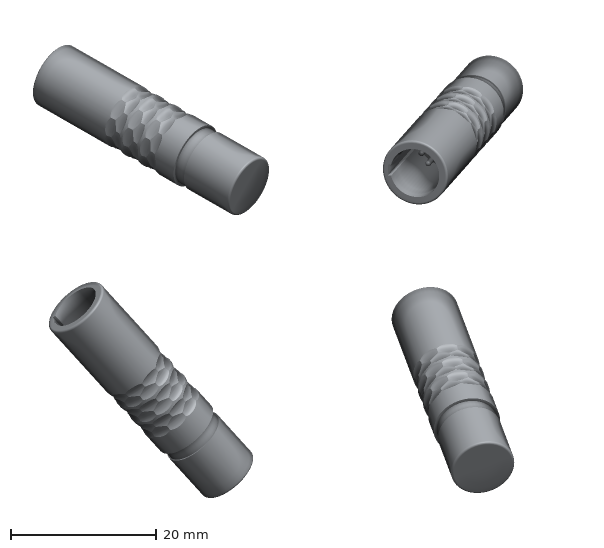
import cadquery as cq
import math

TOTAL_LENGTH = 35.0
SLEEVE_DIAMETER = 9.4
SLEEVE_RADIUS = SLEEVE_DIAMETER / 2
NECK_START = 25.35
NECK_RADIUS = 4.27
REAR_START = 27.02
REAR_RADIUS = 4.48
FRONT_FILLET = 0.3
REAR_FILLET = 0.3

BORE_RADIUS = 3.55
BORE_DEPTH = 12.6
KEYWAY_REACH = 3.9
KEYWAY_WIDTH = 1.6

INSERT_RADIUS = 2.38
INSERT_HEIGHT = 0.7
PIN_COUNT = 5
PIN_RADIUS = 0.4
PIN_CIRCLE_RADIUS = 1.45
PIN_LENGTH = 5.6

BAND_COUNT = 3
FIRST_BAND_X = 14.42
BAND_PITCH = 3.1
RING_SPACING = 0.95
FACETS_PER_RING = 10
FACET_DEPTH = 0.35
SCALLOP_RADIUS = 1.5
SCALLOP_LENGTH = 4.2


def x_cylinder(radius, start, end):
    """Round bar along X between two stations."""
    return cq.Workplane("YZ").workplane(offset=start).circle(radius).extrude(end - start)


def make_body():
    sleeve = x_cylinder(SLEEVE_RADIUS, 0, NECK_START).faces("<X").edges().fillet(FRONT_FILLET)
    neck = x_cylinder(NECK_RADIUS, NECK_START, REAR_START)
    rear = x_cylinder(REAR_RADIUS, REAR_START, TOTAL_LENGTH).faces(">X").edges().fillet(REAR_FILLET)
    return sleeve.union(neck).union(rear)


def make_socket():
    """Bore and keyway, to be removed from the front end."""
    keyway = cq.Workplane("XY").box(
        BORE_DEPTH, KEYWAY_REACH, KEYWAY_WIDTH, centered=(False, False, True)
    )
    return x_cylinder(BORE_RADIUS, 0, BORE_DEPTH).union(keyway)


def make_pin(angle):
    """Contact pin with a hemispherical tip; angle is measured from +Y about the axis."""
    dome_center = BORE_DEPTH - PIN_LENGTH + PIN_RADIUS
    dome = cq.Workplane("XY").sphere(PIN_RADIUS).translate((dome_center, 0, 0))
    pin = x_cylinder(PIN_RADIUS, dome_center, BORE_DEPTH).union(dome)
    y = PIN_CIRCLE_RADIUS * math.cos(math.radians(angle))
    z = PIN_CIRCLE_RADIUS * math.sin(math.radians(angle))
    return pin.translate((0, y, z))


def make_scallop_ring(x, first_angle):
    """Cylinders lying tangentially around the sleeve; angles are measured from +Z."""
    axis_height = SLEEVE_RADIUS - FACET_DEPTH + SCALLOP_RADIUS
    scallop = cq.Solid.makeCylinder(
        SCALLOP_RADIUS,
        SCALLOP_LENGTH,
        cq.Vector(x, -SCALLOP_LENGTH / 2, axis_height),
        cq.Vector(0, 1, 0),
    )
    step = 360 / FACETS_PER_RING
    return [
        scallop.rotate(cq.Vector(0, 0, 0), cq.Vector(1, 0, 0), first_angle + i * step)
        for i in range(FACETS_PER_RING)
    ]


def cut_grip(body):
    """Sink the facet rings; the second ring of each band is turned by half a facet."""
    half_step = 180 / FACETS_PER_RING
    solid = body.val()
    for band in range(BAND_COUNT):
        band_x = FIRST_BAND_X + band * BAND_PITCH
        front_ring = make_scallop_ring(band_x - RING_SPACING / 2, 0)
        rear_ring = make_scallop_ring(band_x + RING_SPACING / 2, half_step)
        solid = solid.cut(*front_ring, *rear_ring)
    return cq.Workplane(solid)


result = cut_grip(make_body()).cut(make_socket())
result = result.union(x_cylinder(INSERT_RADIUS, BORE_DEPTH - INSERT_HEIGHT, BORE_DEPTH))
for pin_index in range(PIN_COUNT):
    result = result.union(make_pin(pin_index * 360 / PIN_COUNT))